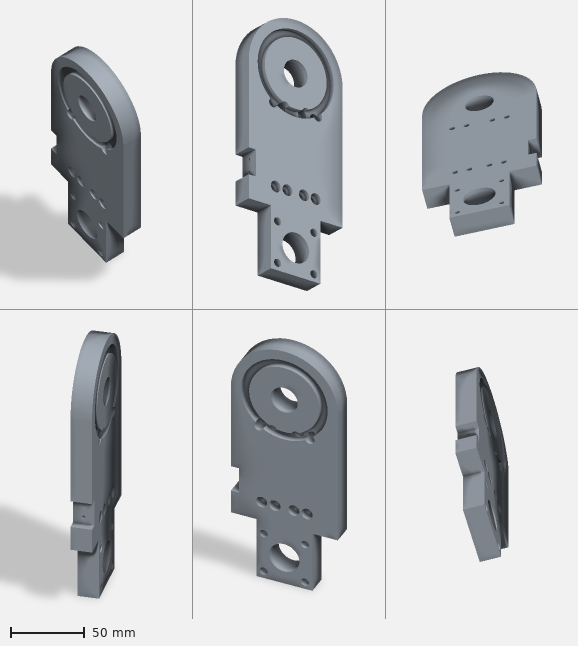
import cadquery as cq

height = 191.0
width = 80.0
thickness = 15.0
head_radius = width / 2
head_z = height - head_radius

neck_width = 42.0
neck_height = 47.0

notch_depth = 6.0
notch_height = 20.0
notch_bottom = 65.0
notch_floor_x = -width / 2 + notch_depth
notch_hole_diameter = 2.5
notch_hole_depth = 9.5
notch_hole_spacing = 9.5
notch_hole_mid_z = 75.3

groove_outer_diameter = 65.0
groove_inner_diameter = 52.7
groove_depth = 4.5
head_bore_diameter = 20.0

upper_hole_xs = (-19.1, -9.0, 9.0, 19.1)
upper_hole_z = head_z - 27.0
upper_hole_diameter = 4.0
upper_counterbore_diameter = 7.0
upper_counterbore_depth = 10.0

lower_hole_xs = (-17.0, -7.0, 7.0, 17.0)
lower_hole_z = 62.0
lower_hole_diameter = 4.0
lower_counterbore_diameter = 8.4
lower_counterbore_depth = 4.0

motor_z = 21.0
motor_bore_diameter = 22.5
motor_hole_spacing = 31.0
motor_hole_diameter = 3.6
motor_counterbore_diameter = 6.0
motor_counterbore_depth = 10.0


def front_cylinder(x, z, diameter, depth):
    """Cylinder running from the front face to the given depth along +Y."""
    circle = cq.Workplane("XZ", origin=(x, 0, z)).circle(diameter / 2)
    return circle.extrude(-depth)


def counterbored_hole(x, z, diameter, counterbore_diameter, counterbore_depth):
    """Through hole with its counterbore in the front face."""
    hole = front_cylinder(x, z, diameter, thickness)
    return hole.union(front_cylinder(x, z, counterbore_diameter, counterbore_depth))


plate = (
    cq.Workplane("XZ")
    .moveTo(-neck_width / 2, 0)
    .lineTo(neck_width / 2, 0)
    .lineTo(neck_width / 2, neck_height)
    .lineTo(width / 2, neck_height)
    .lineTo(width / 2, head_z)
    .threePointArc((0, height), (-width / 2, head_z))
    .lineTo(-width / 2, notch_bottom + notch_height)
    .lineTo(notch_floor_x, notch_bottom + notch_height)
    .lineTo(notch_floor_x, notch_bottom)
    .lineTo(-width / 2, notch_bottom)
    .lineTo(-width / 2, neck_height)
    .lineTo(-neck_width / 2, neck_height)
    .close()
    .extrude(-thickness)
)

groove = front_cylinder(0, head_z, groove_outer_diameter, groove_depth).cut(
    front_cylinder(0, head_z, groove_inner_diameter, groove_depth)
)
plate = plate.cut(groove)
plate = plate.cut(front_cylinder(0, head_z, head_bore_diameter, thickness))
plate = plate.cut(front_cylinder(0, motor_z, motor_bore_diameter, thickness))

for x in upper_hole_xs:
    plate = plate.cut(
        counterbored_hole(
            x, upper_hole_z, upper_hole_diameter, upper_counterbore_diameter, upper_counterbore_depth
        )
    )
for x in lower_hole_xs:
    plate = plate.cut(
        counterbored_hole(
            x, lower_hole_z, lower_hole_diameter, lower_counterbore_diameter, lower_counterbore_depth
        )
    )

for x_side in (-1, 1):
    for z_side in (-1, 1):
        plate = plate.cut(
            counterbored_hole(
                x_side * motor_hole_spacing / 2,
                motor_z + z_side * motor_hole_spacing / 2,
                motor_hole_diameter,
                motor_counterbore_diameter,
                motor_counterbore_depth,
            )
        )

notch_holes = (
    cq.Workplane("YZ", origin=(notch_floor_x, thickness / 2, notch_hole_mid_z))
    .rarray(2, notch_hole_spacing, 1, 2)
    .circle(notch_hole_diameter / 2)
    .extrude(notch_hole_depth)
)

result = plate.cut(notch_holes)